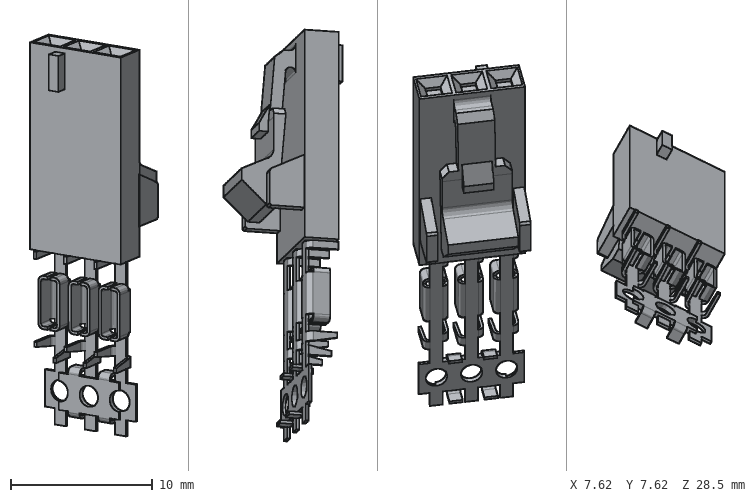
import cadquery as cq


total_height = 28.45
ways = 3
pitch = 2.53
way_centers = [(i - (ways - 1) / 2) * pitch for i in range(ways)]

housing_width = 7.62
housing_depth = 2.5
housing_bottom = 13.23

mouth_width = 2.25
mouth_depth = 2.0
recess_width = 1.1
recess_depth = 0.85
taper_height = 0.48
recess_height = 0.25

key_width = 0.8
key_reach = 0.85
key_top = 28.08
key_height = 2.65

tail_back = housing_width - key_reach
arm_width = 2.67
tail_width = 5.05
shoulder_top = 23.02
shoulder_chamfer = 0.5
root_top = 27.5
root_bottom = 26.3
root_fillet = 0.5
root_crest_y = 3.4
arm_top = 27.0
arm_top_back = 4.05
arm_back = 4.45
arm_slope_end = 22.28
arm_inner_top = 25.95
arm_inner_top_y = 3.25
tail_fillet = 0.75
tail_slope_top = 19.4
tail_flat_top = 18.32
tail_flat_bottom = 17.47
tail_bottom = 15.8
tail_bottom_back = 4.98
tail_bottom_front = 4.13

bump_width = 2.15
bump_back = 5.12
bump_top = 23.53
bump_top_y = 4.32
bump_slope_end = 22.13
bump_bottom = 21.55

guard_width = 0.8
guard_outer_x = 3.75
guard_back = 5.05
guard_bottom = 15.42
guard_root_top = 19.3
guard_back_top = 18.07
guard_chamfer = 0.15

metal = 0.23
strip_back = 2.22
strip_front = strip_back - metal
strip_width = 0.95
strip_embed = 0.28
bend_radius = 0.43

tab_bottom = 12.6
tab_height = 0.55
tab_tip = -0.09

box_outer_x = strip_width / 2 + bend_radius
ring_bottom = 7.35
ring_height = 3.93
ring_back = 1.74
ring_front = 0.5
ring_gap = 0.25

prong_height = 0.7
prong_tip_height = 0.37
prong_bend_radius = 0.45
left_prong_bottom = 5.78
right_prong_bottom = 5.18

carrier_bottom = 1.2
carrier_height = 2.73
carrier_middle = carrier_bottom + carrier_height / 2
pilot_diameter = 1.55
clip_metal = 0.23
clip_front = 1.8
clip_tab_width = 0.97
clip_bottom = 0.7
clip_top = 2 * carrier_middle - clip_bottom
upper_tab_back = 2.82
lower_tab_back = 3.07


def block(x0, x1, y0, y1, z0, z1):
    """Box between opposite corners."""
    return cq.Workplane("XY").box(x1 - x0, y1 - y0, z1 - z0, centered=False).translate((x0, y0, z0))


def side_plane():
    """Sketch plane whose local coordinates are Y and Z, with its normal along +X."""
    return cq.Workplane("YZ")


def socket(x):
    """Cutter for one way: tapered mouth and the straight recess below it."""
    middle_y = housing_depth / 2
    mouth = (
        cq.Workplane("XY", origin=(x, middle_y, total_height))
        .rect(mouth_width, mouth_depth)
        .workplane(offset=-taper_height)
        .rect(recess_width, recess_depth)
        .loft(ruled=True)
    )
    recess = (
        cq.Workplane("XY", origin=(x, middle_y, total_height - taper_height))
        .rect(recess_width, recess_depth)
        .extrude(-recess_height)
    )
    return mouth.union(recess)


def housing():
    body = block(-housing_width / 2, housing_width / 2, 0, housing_depth, housing_bottom, total_height)
    for x in way_centers:
        body = body.cut(socket(x))
    key_x = -pitch / 2
    key = block(key_x - key_width / 2, key_x + key_width / 2, -key_reach, 0, key_top - key_height, key_top)
    return body.union(key)


def latch():
    """Lever with a narrow arm at its root, widening at square shoulders into the tail."""
    arch_middle_y = (housing_depth + arm_inner_top_y) / 2
    heel = cq.selectors.NearestToPointSelector((0, arm_back, tail_slope_top))
    lever = (
        side_plane()
        .moveTo(housing_depth, root_top + root_fillet)
        .radiusArc((housing_depth + root_fillet, root_top), -root_fillet)
        .lineTo(root_crest_y, root_top)
        .lineTo(arm_top_back, arm_top)
        .lineTo(arm_back, arm_slope_end)
        .lineTo(arm_back, tail_slope_top)
        .lineTo(tail_back, tail_flat_top)
        .lineTo(tail_back, tail_flat_bottom)
        .lineTo(tail_bottom_back, tail_bottom)
        .lineTo(tail_bottom_front, tail_bottom)
        .lineTo(arm_inner_top_y, arm_inner_top)
        .threePointArc((arch_middle_y, root_bottom), (housing_depth, arm_inner_top))
        .close()
        .extrude(tail_width / 2, both=True)
        .edges(heel)
        .fillet(tail_fillet)
    )
    half_tail = tail_width / 2
    tail_front = (
        cq.Workplane("XZ")
        .moveTo(-half_tail, tail_bottom)
        .lineTo(half_tail, tail_bottom)
        .lineTo(half_tail, shoulder_top - shoulder_chamfer)
        .lineTo(half_tail - shoulder_chamfer, shoulder_top)
        .lineTo(arm_width / 2, shoulder_top)
        .lineTo(arm_width / 2, total_height)
        .lineTo(-arm_width / 2, total_height)
        .lineTo(-arm_width / 2, shoulder_top)
        .lineTo(-half_tail + shoulder_chamfer, shoulder_top)
        .lineTo(-half_tail, shoulder_top - shoulder_chamfer)
        .close()
        .extrude(-tail_back)
    )
    bump = (
        side_plane()
        .polyline([
            (arm_top_back, bump_top),
            (bump_top_y, bump_top),
            (bump_back, bump_slope_end),
            (bump_back, bump_bottom),
            (arm_top_back, bump_bottom),
        ])
        .close()
        .extrude(bump_width / 2, both=True)
    )
    return lever.intersect(tail_front).union(bump)


def guard(side):
    """Upright plate beside the latch tail; side is -1 for left and +1 for right."""
    plate = (
        side_plane()
        .polyline([
            (housing_depth, guard_bottom),
            (guard_back, guard_bottom),
            (guard_back, guard_back_top),
            (housing_depth, guard_root_top),
        ])
        .close()
        .extrude(guard_width / 2, both=True)
        .edges("|X and >Y")
        .chamfer(guard_chamfer)
    )
    return plate.translate((side * (guard_outer_x - guard_width / 2), 0, 0))


def bent_leg(side, tip_y, radius, bottom, height):
    """Sheet-metal leg that bends forward from the strip edge and runs to tip_y."""
    outer_x = strip_width / 2 + radius
    inner_x = outer_x - metal
    inner_radius = radius - metal
    bend_y = strip_back - radius
    leg = (
        cq.Workplane("XY", origin=(0, 0, bottom))
        .moveTo(0, strip_back)
        .lineTo(outer_x - radius, strip_back)
        .radiusArc((outer_x, bend_y), radius)
        .lineTo(outer_x, tip_y)
        .lineTo(inner_x, tip_y)
        .lineTo(inner_x, bend_y)
        .radiusArc((inner_x - inner_radius, strip_front), -inner_radius)
        .lineTo(0, strip_front)
        .close()
        .extrude(height)
    )
    return leg if side > 0 else leg.mirror("YZ")


def prong(side, bottom):
    """Insulation prong tapering to its tip; the left one tapers below and the right one above."""
    leg = bent_leg(side, 0, prong_bend_radius, bottom, prong_height)
    top = bottom + prong_height
    sloped_start = bottom if side < 0 else top
    sloped_end = top - prong_tip_height if side < 0 else bottom + prong_tip_height
    wedge = (
        side_plane()
        .polyline([(strip_back - prong_bend_radius, sloped_start), (0, sloped_start), (0, sloped_end)])
        .close()
        .extrude(pitch, both=True)
    )
    return leg.cut(wedge)


def crimp_box():
    """Two side walls whose upper and lower ends curl inwards and nearly meet."""
    wall_height = ring_height - 2 * bend_radius
    ring_middle = ring_bottom + ring_height / 2
    ring_depth = ring_back - ring_front
    plane = cq.Workplane("XZ", origin=(0, ring_back, ring_middle))
    outer = plane.rect(2 * box_outer_x, ring_height).extrude(ring_depth).edges("|Y").fillet(bend_radius)
    inner = (
        plane.rect(2 * (box_outer_x - metal), ring_height - 2 * metal)
        .extrude(ring_depth)
        .edges("|Y")
        .fillet(bend_radius - metal)
    )
    gap = plane.rect(ring_gap, ring_height).extrude(ring_depth)
    box = outer.cut(inner).cut(gap)
    for side in (-1, 1):
        box = box.union(
            bent_leg(side, ring_front, bend_radius, ring_bottom + bend_radius, wall_height)
        )
    return box


def terminal():
    """One terminal centred on X = 0, running from the tail end up into the housing."""
    half_strip = strip_width / 2
    strip = block(-half_strip, half_strip, strip_front, strip_back, 0, housing_bottom + strip_embed)
    return (
        strip.union(bent_leg(-1, tab_tip, bend_radius, tab_bottom, tab_height))
        .union(crimp_box())
        .union(prong(-1, left_prong_bottom))
        .union(prong(1, right_prong_bottom))
    )


def clip_tab(back_y):
    """Clip tab centred on X = 0 that bends from the clip plate over the upper carrier edge."""
    inner_radius = bend_radius - clip_metal
    bend_z = clip_top - bend_radius
    bend_y = clip_front + bend_radius
    return (
        side_plane()
        .moveTo(clip_front, carrier_middle)
        .lineTo(clip_front, bend_z)
        .radiusArc((bend_y, clip_top), bend_radius)
        .lineTo(back_y, clip_top)
        .lineTo(back_y, clip_top - clip_metal)
        .lineTo(bend_y, clip_top - clip_metal)
        .radiusArc((clip_front + clip_metal, bend_z), -inner_radius)
        .lineTo(clip_front + clip_metal, carrier_middle)
        .close()
        .extrude(clip_tab_width / 2, both=True)
    )


def carrier():
    """Carrier strip with a clip plate wrapped over its edges between the terminals."""
    carrier_top = carrier_bottom + carrier_height
    half_width = housing_width / 2
    strip = block(-half_width, half_width, strip_front, strip_back, carrier_bottom, carrier_top)
    strip = strip.union(
        block(-pitch, pitch, clip_front, clip_front + clip_metal, carrier_bottom, carrier_top)
    )
    upper_tab = clip_tab(upper_tab_back)
    lower_tab = clip_tab(lower_tab_back).mirror("XY", (0, 0, carrier_middle))
    for x in (-pitch / 2, pitch / 2):
        strip = strip.union(upper_tab.translate((x, 0, 0))).union(lower_tab.translate((x, 0, 0)))
    return strip


def pilot_holes():
    """Cutters for the carrier pilot holes, one on each terminal centre."""
    return (
        cq.Workplane("XZ", origin=(0, 0, carrier_middle))
        .pushPoints([(x, 0) for x in way_centers])
        .circle(pilot_diameter / 2)
        .extrude(housing_depth, both=True)
    )


result = housing().union(latch())
for side in (-1, 1):
    result = result.union(guard(side))
for x in way_centers:
    result = result.union(terminal().translate((x, 0, 0)))
result = result.union(carrier()).cut(pilot_holes())